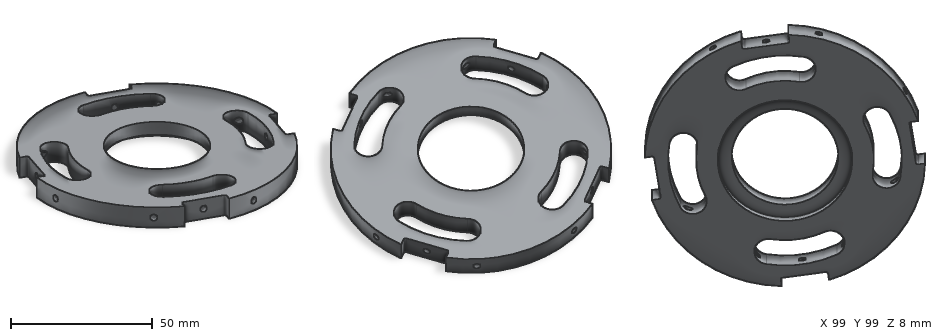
import cadquery as cq
import math

outer_diameter = 99.0
thickness = 8.0
bore_diameter = 37.6
bore_land = 5.0
counterbore_diameter = 47.5

first_diagonal = 45.0
diagonal_count = 4
diagonal_step = 360.0 / diagonal_count
diagonals = [first_diagonal + i * diagonal_step for i in range(diagonal_count)]

notch_width = 16.8
notch_floor_radius = 45.5
notch_corner_radius = 0.8

slot_centre_radius = 36.3
slot_width = 9.9
slot_half_angle = 17.8

hole_diameter = 2.5
hole_offset_angles = (-22.5, 0.0, 22.5)

outer_radius = outer_diameter / 2


def polar(radius, angle):
    """Point in the XY plane at a radius and an angle in degrees."""
    radians = math.radians(angle)
    return (radius * math.cos(radians), radius * math.sin(radians))


def make_disc():
    """Disc with a central bore, counterbored from the underside."""
    disc = (
        cq.Workplane("XY")
        .circle(outer_radius)
        .circle(bore_diameter / 2)
        .extrude(thickness)
    )
    counterbore = (
        cq.Workplane("XY")
        .circle(counterbore_diameter / 2)
        .extrude(thickness - bore_land)
    )
    return disc.cut(counterbore)


def make_notch():
    """Notch cutter on +X, with its inner corners rounded."""
    return (
        cq.Workplane("XY")
        .center(notch_floor_radius, 0)
        .rect(outer_radius, notch_width)
        .extrude(thickness)
        .edges("|Z")
        .fillet(notch_corner_radius)
        .translate((outer_radius / 2, 0, 0))
    )


def make_slot():
    """Arc-shaped slot cutter centred on +X, with round ends."""
    inner = slot_centre_radius - slot_width / 2
    outer = slot_centre_radius + slot_width / 2
    end_reach = math.hypot(slot_centre_radius, slot_width / 2)
    tip_angle = slot_half_angle + math.degrees(math.atan2(slot_width / 2, slot_centre_radius))
    return (
        cq.Workplane("XY")
        .moveTo(*polar(outer, -slot_half_angle))
        .threePointArc((outer, 0), polar(outer, slot_half_angle))
        .threePointArc(polar(end_reach, tip_angle), polar(inner, slot_half_angle))
        .threePointArc((inner, 0), polar(inner, -slot_half_angle))
        .threePointArc(polar(end_reach, -tip_angle), polar(outer, -slot_half_angle))
        .close()
        .extrude(thickness)
    )


def make_radial_hole():
    """Hole cutter along +X at mid thickness, from the slot centreline out to the rim."""
    return (
        cq.Workplane("YZ", origin=(slot_centre_radius, 0, thickness / 2))
        .circle(hole_diameter / 2)
        .extrude(outer_radius - slot_centre_radius)
    )


def turned(body, angle):
    return body.rotate((0, 0, 0), (0, 0, 1), angle)


result = make_disc()
for diagonal in diagonals:
    result = result.cut(turned(make_notch(), diagonal))
    result = result.cut(turned(make_slot(), diagonal))
    for offset in hole_offset_angles:
        result = result.cut(turned(make_radial_hole(), diagonal + offset))